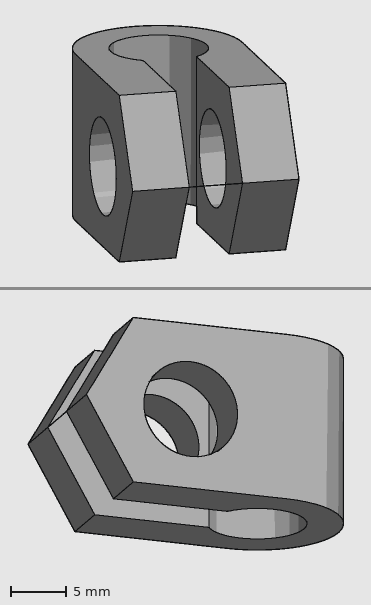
import cadquery as cq
import math

length = 27.0
body_width = 15.6
bore_diameter = 9.0
slot_width = 5.0
tip_web = 0.008
cross_bore_setback = 1.0
cross_bore_drop = 0.3

end_radius = body_width / 2
tip_x = length - end_radius
hex_corner_radius = body_width / math.sqrt(3)
hex_centre_x = tip_x - hex_corner_radius
shoulder_x = hex_centre_x + hex_corner_radius / 2
half_height = body_width / 2


def clamp_body():
    """Round-ended block with its free end pointed like half a hexagon."""
    side_profile = (
        cq.Workplane("XZ")
        .moveTo(-end_radius, -half_height)
        .lineTo(shoulder_x, -half_height)
        .lineTo(tip_x, 0)
        .lineTo(shoulder_x, half_height)
        .lineTo(-end_radius, half_height)
        .close()
        .extrude(end_radius, both=True)
    )
    plan_outline = (
        cq.Workplane("XY")
        .moveTo(0, end_radius)
        .threePointArc((-end_radius, 0), (0, -end_radius))
        .lineTo(tip_x, -end_radius)
        .lineTo(tip_x, end_radius)
        .close()
        .extrude(half_height, both=True)
    )
    return side_profile.intersect(plan_outline)


def main_bore():
    """Vertical bore, concentric with the rounded end."""
    return cq.Workplane("XY").circle(bore_diameter / 2).extrude(half_height, both=True)


def clamping_slot():
    """Full-height slot from the main bore, closed by a sliver at the tip."""
    return cq.Workplane("XY").box(
        tip_x - tip_web, slot_width, body_width, centered=(False, True, True)
    )


def cross_bore():
    """Bore along Y through both arms."""
    return (
        cq.Workplane("XZ")
        .center(hex_centre_x - cross_bore_setback, -cross_bore_drop)
        .circle(bore_diameter / 2)
        .extrude(end_radius, both=True)
    )


result = clamp_body().cut(main_bore()).cut(clamping_slot()).cut(cross_bore())